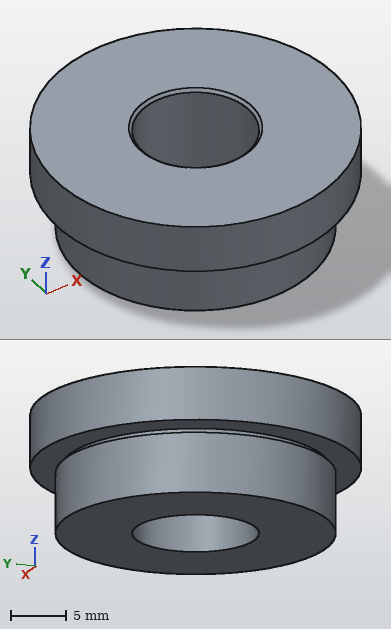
import cadquery as cq

flange_diameter = 30.0
flange_height = 5.0
total_height = 11.2
body_diameter = 25.4
groove_depth = 0.5
groove_width = 0.5
bore_diameter = 11.5
bore_chamfer = 0.3

groove_diameter = body_diameter - 2 * groove_depth
body_height = total_height - flange_height - groove_width

bushing = (
    cq.Workplane("XY")
    .circle(body_diameter / 2)
    .extrude(body_height)
    .faces(">Z")
    .workplane()
    .circle(groove_diameter / 2)
    .extrude(groove_width)
    .faces(">Z")
    .workplane()
    .circle(flange_diameter / 2)
    .extrude(flange_height)
)

bushing = bushing.faces(">Z").workplane().hole(bore_diameter)
bore_mouth = cq.selectors.RadiusNthSelector(0)
result = bushing.faces(">Z").edges(bore_mouth).chamfer(bore_chamfer)